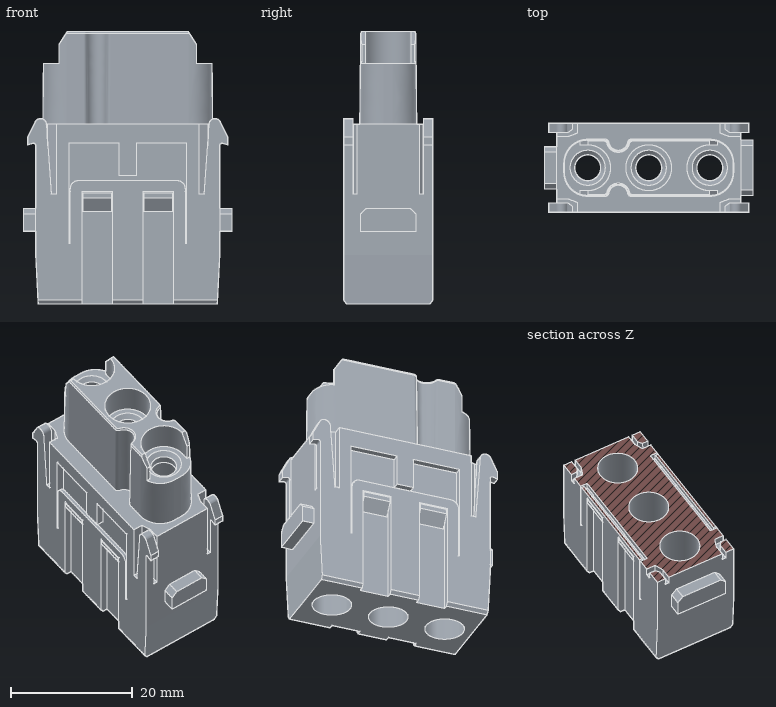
import cadquery as cq

TOTAL_HEIGHT = 44.7
TOTAL_LENGTH = 34.2
BODY_LENGTH = 30.2
BODY_WIDTH = 14.6
BODY_HEIGHT = 29.5
BODY_FOOT_LENGTH = 29.4
BODY_TAPER_HEIGHT = 8.0
FOOT_CHAMFER_WIDTH = 0.45
FOOT_CHAMFER_HEIGHT = 0.63

TOWER_LENGTH = 27.9
TOWER_WIDTH = 9.4
TOWER_CORNER_RADIUS = 4.0
TOWER_DRAFT = 0.6
TOWER_TOP_CHAMFER_HEIGHT = 0.3
TOWER_TOP_CHAMFER_WIDTH = 0.2
LEDGE_HEIGHT = 39.45
WALL_END = 11.3
WALL_TOP_END = 9.92
WALL_SLOPE_START = 42.55

CONTACT_PITCH = 10.0
COUNTERBORE_DIAMETER = 7.5
LIP_DIAMETER = 4.2
LIP_MOUTH_DIAMETER = 5.75
LIP_MOUTH_DEPTH = 0.65
LIP_BOTTOM = 37.35
CAVITY_DIAMETER = 6.5

NOTCH_X = -CONTACT_PITCH / 2
NOTCH_RADIUS = 1.55
NOTCH_CENTRE_Y = 4.43
NOTCH_LIP_RADIUS = 0.6

LUG_BOTTOM = 11.95
LUG_TOP = 15.7
LUG_CHAMFER = 0.95
LEFT_LUG_WIDTH = 6.97
RIGHT_LUG_WIDTH = 9.1

ARM_THICKNESS = 1.55
ARM_SLOT_BOTTOM = 18.0
ARM_SLOT_WIDTH = 0.63
ARM_SLOT_INNER_X = 11.7
ARM_FOOT_X = 12.5
ARM_NECK_X = 13.3
ARM_NECK_HEIGHT = BODY_HEIGHT
ARM_SHOULDER_HEIGHT = 30.05
HOOK_X = 16.4
HOOK_SLOPE_BOTTOM = 27.4
HOOK_BOTTOM = 26.1
HOOK_UNDERCUT_TOP = 26.35
HOOK_ROOT_BOTTOM = 25.9
HOOK_ROOT_WIDTH = 0.45
ARM_CORNER_LENGTH = 0.75
ARM_CORNER_WIDTH = 0.6
SLOT_CORNER_LENGTH = 1.48
SLOT_CORNER_WIDTH = 0.6

RECESS_LENGTH = 19.2
RECESS_DEPTH = 1.25
RECESS_BOTTOM = 9.92
RECESS_TOP = 26.4
TAB_WIDTH = 2.9
TAB_BOTTOM = 21.05
PANEL_TOP = 20.25
PANEL_CORNER_RADIUS = 1.35
PANEL_LIP_THICKNESS = 0.55
PANEL_GAP = 0.2

GROOVE_WIDTH = 4.95
GROOVE_TOP = 18.4
CATCH_GAP = 0.2
CATCH_EDGE_HEIGHT = 17.4
CATCH_SLOPE_BOTTOM = 15.15

half_body = BODY_LENGTH / 2
half_width = BODY_WIDTH / 2
contact_xs = [-CONTACT_PITCH, 0, CONTACT_PITCH]
groove_xs = [-CONTACT_PITCH / 2, CONTACT_PITCH / 2]
floor_y = -half_width + RECESS_DEPTH


def block(x0, x1, y0, y1, z0, z1):
    """Box given by its limits along each axis."""
    return cq.Workplane("XY").box(x1 - x0, y1 - y0, z1 - z0, centered=False).translate((x0, y0, z0))


def front_prism(outline, y0, y1):
    """Closed XZ outline extruded from y0 to y1."""
    return outline.close().extrude(y0 - y1).translate((0, y0, 0))


def side_prism(points, x0, x1):
    """Closed YZ polygon extruded from x0 to x1."""
    return cq.Workplane("YZ").polyline(points).close().extrude(x1 - x0).translate((x0, 0, 0))


def disc(x, diameter, z0, z1):
    """Upright cylinder on the centre line of the part."""
    return cq.Workplane("XY", origin=(x, 0, z0)).circle(diameter / 2).extrude(z1 - z0)


def both_sides(shape):
    """The shape and its mirror image on the +Y side."""
    return shape.union(shape.mirror("XZ"))


def make_body():
    half_foot = BODY_FOOT_LENGTH / 2
    front = cq.Workplane("XZ").polyline([
        (-half_foot, 0),
        (half_foot, 0),
        (half_body, BODY_TAPER_HEIGHT),
        (half_body, BODY_HEIGHT),
        (-half_body, BODY_HEIGHT),
        (-half_body, BODY_TAPER_HEIGHT),
    ])
    foot_y = half_width - FOOT_CHAMFER_WIDTH
    side = side_prism([
        (-foot_y, 0),
        (foot_y, 0),
        (half_width, FOOT_CHAMFER_HEIGHT),
        (half_width, BODY_HEIGHT),
        (-half_width, BODY_HEIGHT),
        (-half_width, FOOT_CHAMFER_HEIGHT),
    ], -half_body, half_body)
    return front_prism(front, -half_width, half_width).intersect(side)


def make_lug(x0, x1, width):
    """End lug with chamfered upper corners, between x0 and x1."""
    y = width / 2
    return side_prism([
        (-y, LUG_BOTTOM),
        (y, LUG_BOTTOM),
        (y, LUG_TOP - LUG_CHAMFER),
        (y - LUG_CHAMFER, LUG_TOP),
        (-y + LUG_CHAMFER, LUG_TOP),
        (-y, LUG_TOP - LUG_CHAMFER),
    ], x0, x1)


def make_tower():
    height = TOTAL_HEIGHT - BODY_HEIGHT
    outline = cq.Sketch().rect(TOWER_LENGTH, TOWER_WIDTH).vertices().fillet(TOWER_CORNER_RADIUS)
    tower = (
        cq.Workplane("XY", origin=(0, 0, BODY_HEIGHT))
        .placeSketch(outline)
        .extrude(height, taper=TOWER_DRAFT)
    )

    notch = (
        cq.Workplane("XY", origin=(NOTCH_X, -NOTCH_CENTRE_Y, BODY_HEIGHT))
        .circle(NOTCH_RADIUS)
        .extrude(height, taper=-TOWER_DRAFT)
    )
    tower = tower.cut(both_sides(notch))
    for side in (-1, 1):
        for end in (-1, 1):
            lip = (NOTCH_X + end * NOTCH_RADIUS, side * TOWER_WIDTH / 2, BODY_HEIGHT + height / 2)
            tower = tower.edges(cq.selectors.NearestToPointSelector(lip)).fillet(NOTCH_LIP_RADIUS)
    tower = tower.faces(">Z").chamfer(TOWER_TOP_CHAMFER_HEIGHT, TOWER_TOP_CHAMFER_WIDTH)

    half = TOWER_LENGTH / 2
    profile = cq.Workplane("XZ").polyline([
        (-half, BODY_HEIGHT),
        (half, BODY_HEIGHT),
        (half, LEDGE_HEIGHT),
        (WALL_END, LEDGE_HEIGHT),
        (WALL_END, WALL_SLOPE_START),
        (WALL_TOP_END, TOTAL_HEIGHT),
        (-WALL_TOP_END, TOTAL_HEIGHT),
        (-WALL_END, WALL_SLOPE_START),
        (-WALL_END, LEDGE_HEIGHT),
        (-half, LEDGE_HEIGHT),
    ])
    return tower.intersect(front_prism(profile, -TOWER_WIDTH / 2, TOWER_WIDTH / 2))


def make_contact_hole(x):
    """Counterbore, conical mouth, narrow lip and wide cavity open to the bottom."""
    mouth_bottom = LEDGE_HEIGHT - LIP_MOUTH_DEPTH
    mouth = (
        cq.Workplane("XY", origin=(x, 0, mouth_bottom))
        .circle(LIP_DIAMETER / 2)
        .workplane(offset=LIP_MOUTH_DEPTH)
        .circle(LIP_MOUTH_DIAMETER / 2)
        .loft()
    )
    hole = disc(x, COUNTERBORE_DIAMETER, LEDGE_HEIGHT, TOTAL_HEIGHT)
    hole = hole.union(mouth)
    hole = hole.union(disc(x, LIP_DIAMETER, LIP_BOTTOM, mouth_bottom))
    return hole.union(disc(x, CAVITY_DIAMETER, 0, LIP_BOTTOM))


def make_end_openings():
    """Straight openings from the outer counterbores to the tower ends."""
    r = COUNTERBORE_DIAMETER / 2
    opening = block(CONTACT_PITCH, TOWER_LENGTH / 2, -r, r, LEDGE_HEIGHT, TOTAL_HEIGHT)
    return opening.union(opening.mirror("YZ"))


def make_corner_pocket():
    """Pocket that takes one latch arm at the (+X, -Y) corner of the body."""
    arm_back = half_width - ARM_THICKNESS
    inner_y = arm_back - ARM_SLOT_WIDTH
    plan = [
        (half_body, -half_width),
        (ARM_SLOT_INNER_X, -half_width),
        (ARM_SLOT_INNER_X, -inner_y - SLOT_CORNER_WIDTH),
        (ARM_SLOT_INNER_X + SLOT_CORNER_LENGTH, -inner_y),
        (half_body, -inner_y),
    ]
    depth = BODY_HEIGHT - ARM_SLOT_BOTTOM
    return cq.Workplane("XY", origin=(0, 0, ARM_SLOT_BOTTOM)).polyline(plan).close().extrude(depth)


def make_arm():
    """Tapered latch arm with an outward hook, at the (+X, -Y) corner."""
    root_x = half_body + HOOK_ROOT_WIDTH
    outline = (
        cq.Workplane("XZ")
        .moveTo(ARM_FOOT_X, ARM_SLOT_BOTTOM)
        .lineTo(ARM_NECK_X, ARM_NECK_HEIGHT)
        .tangentArcPoint((half_body, ARM_SHOULDER_HEIGHT), relative=False)
        .lineTo(HOOK_X, HOOK_SLOPE_BOTTOM)
        .lineTo(HOOK_X, HOOK_BOTTOM)
        .lineTo(root_x, HOOK_UNDERCUT_TOP)
        .tangentArcPoint((half_body, HOOK_ROOT_BOTTOM), relative=False)
        .lineTo(half_body, ARM_SLOT_BOTTOM)
    )
    arm_back = -half_width + ARM_THICKNESS
    arm = front_prism(outline, -half_width, arm_back)
    bevel = (
        cq.Workplane("XY", origin=(0, 0, ARM_SLOT_BOTTOM))
        .moveTo(ARM_FOOT_X, arm_back)
        .lineTo(ARM_FOOT_X + ARM_CORNER_LENGTH, arm_back)
        .lineTo(ARM_FOOT_X, arm_back - ARM_CORNER_WIDTH)
        .close()
        .extrude(ARM_NECK_HEIGHT - ARM_SLOT_BOTTOM)
    )
    return arm.cut(bevel)


def four_corners(shape):
    """Copies of a (+X, -Y) corner feature at all four corners."""
    pair = both_sides(shape)
    return pair.union(pair.mirror("YZ"))


def make_recess():
    """Side recess around the upper tab and the rounded panel."""
    half = RECESS_LENGTH / 2
    recess = block(-half, half, -half_width, floor_y, RECESS_BOTTOM, RECESS_TOP)
    tab = block(-TAB_WIDTH / 2, TAB_WIDTH / 2, -half_width, floor_y, TAB_BOTTOM, RECESS_TOP)
    half_panel = half - PANEL_GAP
    panel = block(-half_panel, half_panel, -half_width, floor_y, RECESS_BOTTOM, PANEL_TOP)
    panel = panel.edges("|Y and >Z").fillet(PANEL_CORNER_RADIUS)
    lip_back = -half_width + PANEL_LIP_THICKNESS
    lip_gap = block(-half_panel, half_panel, lip_back, floor_y, GROOVE_TOP, PANEL_TOP)
    return recess.cut(tab).cut(panel.cut(lip_gap))


def make_groove(x):
    """Groove up from the bottom, closed at its top by a sloping catch."""
    half = GROOVE_WIDTH / 2
    groove = block(x - half, x + half, -half_width, floor_y, 0, GROOVE_TOP)
    catch_top = GROOVE_TOP - CATCH_GAP
    catch = side_prism([
        (floor_y, CATCH_SLOPE_BOTTOM),
        (-half_width, CATCH_EDGE_HEIGHT),
        (-half_width, catch_top),
        (floor_y, catch_top),
    ], x - half + CATCH_GAP, x + half - CATCH_GAP)
    return groove.cut(catch)


result = make_body().union(make_tower())
result = result.union(make_lug(-TOTAL_LENGTH / 2, -half_body, LEFT_LUG_WIDTH))
result = result.union(make_lug(half_body, TOTAL_LENGTH / 2, RIGHT_LUG_WIDTH))
result = result.cut(four_corners(make_corner_pocket())).union(four_corners(make_arm()))
result = result.cut(both_sides(make_recess()))
for groove_x in groove_xs:
    result = result.cut(both_sides(make_groove(groove_x)))
for contact_x in contact_xs:
    result = result.cut(make_contact_hole(contact_x))
result = result.cut(make_end_openings())